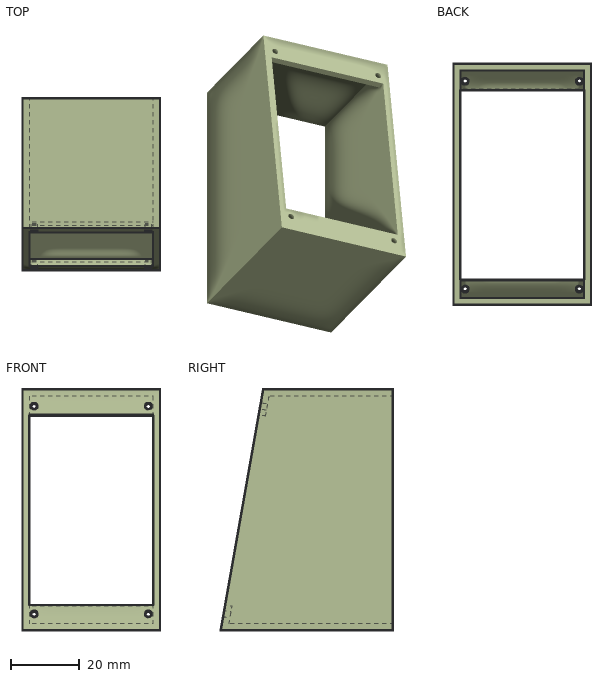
import cadquery as cq
import math

width = 40.0
depth = 50.0
height = 70.0
wall = 2.0
tilt = 10.0

window_height = 56.0
window_width = width - 2 * wall
hole_diameter = 1.8
hole_spacing_across = 33.1
hole_spacing_along = 61.2

panel_run = height * math.tan(math.radians(tilt))
wall_along_y = wall / math.cos(math.radians(tilt))
cut_depth = 2 * wall


def front_y(z):
    """Y of the outer front surface at height z."""
    return -depth + panel_run * z / height


def side_prism(outline, prism_width):
    """Extrude a (y, z) outline across X, centred on x = 0."""
    return cq.Workplane("YZ").polyline(outline).close().extrude(prism_width / 2, both=True)


body = side_prism(
    [(0, 0), (front_y(0), 0), (front_y(height), height), (0, height)],
    width,
)

floor = wall
ceiling = height - wall
cavity = side_prism(
    [
        (0, floor),
        (front_y(floor) + wall_along_y, floor),
        (front_y(ceiling) + wall_along_y, ceiling),
        (0, ceiling),
    ],
    window_width,
)

panel = cq.Workplane(
    cq.Plane(
        origin=(0, front_y(height / 2), height / 2),
        xDir=(1, 0, 0),
        normal=(0, -math.cos(math.radians(tilt)), math.sin(math.radians(tilt))),
    )
)

window = panel.rect(window_width, window_height).extrude(-cut_depth)
screw_holes = (
    panel.rect(hole_spacing_across, hole_spacing_along, forConstruction=True)
    .vertices()
    .circle(hole_diameter / 2)
    .extrude(-cut_depth)
)

result = body.cut(cavity).cut(window).cut(screw_holes)